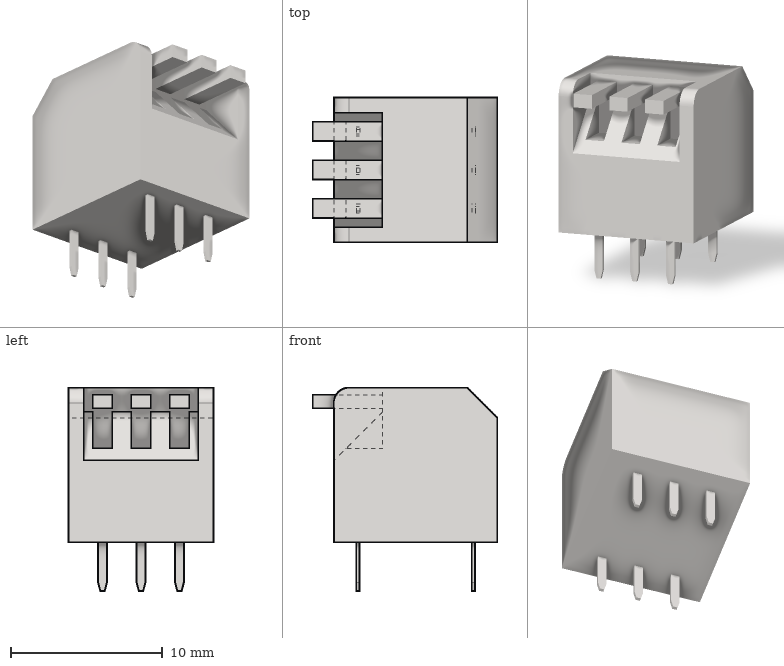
import cadquery as cq


OVERLAP = 0.2

body_length = 10.8
body_width = 9.57
body_height = 10.22
front_edge_radius = 1.0
back_edge_chamfer = 2.0

position_count = 3
pitch = 2.54

side_wall = 1.0
pocket_depth = 3.2
pocket_back_height = 1.6

lever_protrusion = 1.4
lever_width = 1.3
lever_height = 0.92
lever_top_gap = 0.46
slot_floor_below_top = 4.0

row_spacing = 7.62
pin_length = 3.22
pin_width = 0.6
pin_thickness = 0.22
pin_tip_width = 0.3
pin_tip_length = 0.6

front_x = -body_length / 2
pocket_back_x = front_x + pocket_depth
pocket_width = body_width - 2 * side_wall
slope_top_z = body_height - pocket_back_height
slope_bottom_z = slope_top_z - pocket_depth
slot_floor_z = body_height - slot_floor_below_top
position_ys = [(i - (position_count - 1) / 2) * pitch for i in range(position_count)]


def block(x_range, y_centre, width, z_range):
    """Box between two X and two Z limits, centred on y_centre."""
    x_min, x_max = x_range
    z_min, z_max = z_range
    return (
        cq.Workplane("XY")
        .box(x_max - x_min, width, z_max - z_min, centered=(False, True, False))
        .translate((x_min, y_centre, z_min))
    )


def make_housing():
    """Block with a rounded upper front edge and a chamfered upper back edge."""
    housing = cq.Workplane("XY").box(
        body_length, body_width, body_height, centered=(True, True, False)
    )
    housing = housing.faces("<X").edges(">Z").fillet(front_edge_radius)
    return housing.faces(">X").edges(">Z").chamfer(back_edge_chamfer)


def make_pocket():
    """Cutter for the lever pocket: vertical back wall and sloping floor."""
    return (
        cq.Workplane("XZ")
        .moveTo(front_x, slope_bottom_z)
        .lineTo(pocket_back_x, slope_top_z)
        .lineTo(pocket_back_x, body_height)
        .lineTo(front_x, body_height)
        .close()
        .extrude(pocket_width / 2, both=True)
    )


def make_slot(y):
    """Cutter for the flat-floored slot that opens the sloping floor below one lever."""
    return block((front_x, pocket_back_x), y, lever_width, (slot_floor_z, body_height))


def make_lever(y):
    """Bar reaching from the pocket's back wall out past the front of the housing."""
    lever_top_z = body_height - lever_top_gap
    return block(
        (front_x - lever_protrusion, pocket_back_x + OVERLAP),
        y,
        lever_width,
        (lever_top_z - lever_height, lever_top_z),
    )


def make_pin(x, y):
    """Flat pin below the housing, narrowing to a blunt tip."""
    taper_z = pin_tip_length - pin_length
    return (
        cq.Workplane("YZ")
        .moveTo(-pin_width / 2, OVERLAP)
        .lineTo(-pin_width / 2, taper_z)
        .lineTo(-pin_tip_width / 2, -pin_length)
        .lineTo(pin_tip_width / 2, -pin_length)
        .lineTo(pin_width / 2, taper_z)
        .lineTo(pin_width / 2, OVERLAP)
        .close()
        .extrude(pin_thickness / 2, both=True)
        .translate((x, y, 0))
    )


result = make_housing().cut(make_pocket())

for position_y in position_ys:
    result = result.cut(make_slot(position_y))
    result = result.union(make_lever(position_y))
    for row_x in (-row_spacing / 2, row_spacing / 2):
        result = result.union(make_pin(row_x, position_y))